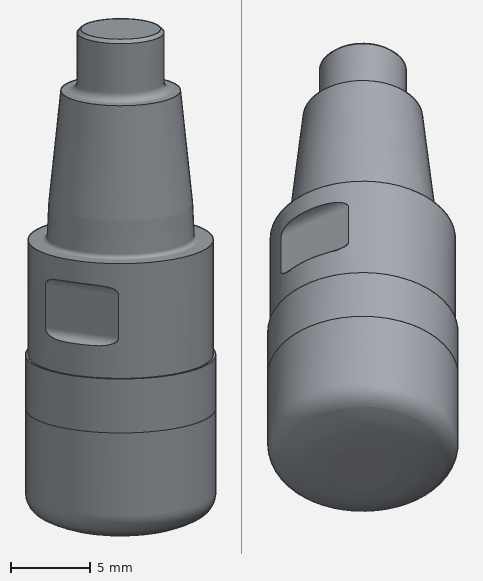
import cadquery as cq
import math

total_height = 32.3
cap_top = 7.53
band_top = 11.05
shoulder_level = 18.55
taper_start = 20.95
taper_end = 28.3

cap_radius = 12.0 / 2
sleeve_radius = 11.7 / 2
root_radius = 9.27 / 2
taper_start_radius = 9.08 / 2
taper_end_radius = 7.55 / 2
neck_radius = 5.5 / 2

neck_chamfer = 0.23
neck_fillet = 0.55
root_fillet = 0.3

flat_radius = 2.25
corner_radius = 1.45
corner_top = 2.07

flat_distance = 10.45 / 2
flat_bottom = 13.1
flat_top = 17.1
flat_end_radius = 0.58


def fillet_midpoint(center_r, center_z, radius):
    """Middle of a concave quarter arc that faces the axis and the floor."""
    offset = radius * math.sqrt(0.5)
    return (center_r - offset, center_z - offset)


def make_cap():
    run = cap_radius - corner_radius - flat_radius
    drop = corner_top - corner_radius
    radius_gap = (run**2 + drop**2) / (2 * drop)
    dome_radius = corner_radius + radius_gap
    dome_angle = math.asin(run / radius_gap)
    corner_angle = (dome_angle + math.pi / 2) / 2
    corner_center = cap_radius - corner_radius
    corner_level = dome_radius - radius_gap * math.cos(dome_angle)

    def on_dome(angle):
        return (flat_radius + dome_radius * math.sin(angle), dome_radius * (1 - math.cos(angle)))

    corner_middle = (
        corner_center + corner_radius * math.sin(corner_angle),
        corner_level - corner_radius * math.cos(corner_angle),
    )
    profile = (
        cq.Workplane("XZ")
        .lineTo(flat_radius, 0)
        .threePointArc(on_dome(dome_angle / 2), on_dome(dome_angle))
        .threePointArc(corner_middle, (cap_radius, corner_level))
        .lineTo(cap_radius, cap_top)
        .lineTo(0, cap_top)
        .close()
    )
    return profile.revolve(360, (0, 0, 0), (0, 1, 0))


def make_flat_cutter(side):
    """Pocket for one wrench flat, with rounded inner ends; side is -1 or +1."""
    cutter_depth = cap_radius - flat_distance
    return (
        cq.Workplane("XY")
        .box(2 * cap_radius, cutter_depth, flat_top - flat_bottom)
        .faces("<Y")
        .edges("|X")
        .fillet(flat_end_radius)
        .rotate((0, 0, 0), (0, 0, 1), 0 if side > 0 else 180)
        .translate((0, side * (flat_distance + cutter_depth / 2), (flat_bottom + flat_top) / 2))
    )


def make_shaft():
    root_outer = root_radius + root_fillet
    root_level = shoulder_level + root_fillet
    neck_outer = neck_radius + neck_fillet
    neck_level = taper_end + neck_fillet
    profile = (
        cq.Workplane("XZ")
        .moveTo(0, cap_top)
        .lineTo(cap_radius, cap_top)
        .lineTo(cap_radius, band_top)
        .lineTo(sleeve_radius, band_top)
        .lineTo(sleeve_radius, shoulder_level)
        .lineTo(root_outer, shoulder_level)
        .threePointArc(fillet_midpoint(root_outer, root_level, root_fillet), (root_radius, root_level))
        .lineTo(taper_start_radius, taper_start)
        .lineTo(taper_end_radius, taper_end)
        .lineTo(neck_outer, taper_end)
        .threePointArc(fillet_midpoint(neck_outer, neck_level, neck_fillet), (neck_radius, neck_level))
        .lineTo(neck_radius, total_height - neck_chamfer)
        .lineTo(neck_radius - neck_chamfer, total_height)
        .lineTo(0, total_height)
        .close()
    )
    shaft = profile.revolve(360, (0, 0, 0), (0, 1, 0))
    for side in (-1, 1):
        shaft = shaft.cut(make_flat_cutter(side))
    return shaft


cap = make_cap()
shaft = make_shaft()

result = cq.Compound.makeCompound([cap.val(), shaft.val()])